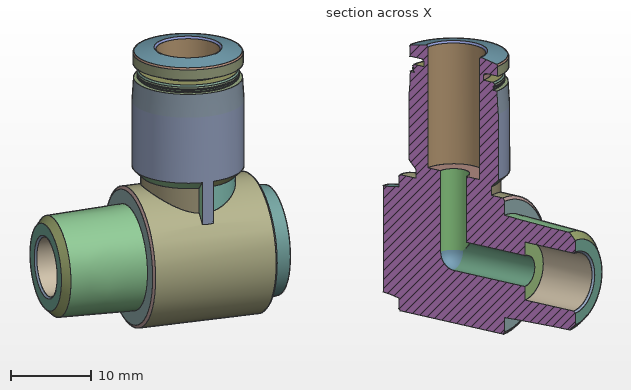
import cadquery as cq

passage_diameter = 4.0

body_radius = 17.9 / 2
body_front = -8.0
body_rear = 8.6
front_edge_radial = 0.4
rear_edge_radial = 0.25
edge_axial = 0.25

boss_rear = 11.0
boss_base_radius = 7.3
boss_end_radius = 7.0

spigot_front = boss_rear - 30.0
spigot_base_radius = 6.75
spigot_end_radius = 6.4
spigot_tip_radius = 5.53
spigot_chamfer_length = 0.93
spigot_bore_radius = 7.52 / 2
spigot_bore_depth = 7.85
bore_chamfer = 0.25

socket_radius = 14.0 / 2
neck_radius = 5.92
neck_top = 10.05
socket_bottom = 11.12
shoulder_bottom = 19.7
shoulder_top = 22.75
shoulder_top_radius = 6.8

ring_radius = 12.8 / 2
ring_groove_radius = 6.2
ring_top = 23.78
ring_chamfer = 0.2
ring_groove_bottom = 23.15
ring_groove_top = 23.28

stem_radius = 9.4 / 2
button_radius = 13.8 / 2
button_top = 35.65 - body_radius
button_bottom = 24.67
button_rim_height = 26.0
button_edge_height = 26.25
button_edge_radius = 6.77
stem_flare = 0.25
tube_bore_radius = 8.0 / 2
tube_bore_depth = 16.05

rib_width = 1.5
rib_bottom = 5.53
rib_top = socket_bottom


def revolve_about_z(points):
    """Revolve a closed (radius, height) outline about the Z axis."""
    return cq.Workplane("XZ").polyline(points).close().revolve(360, (0, 0, 0), (0, 1, 0))


def revolve_about_y(points):
    """Revolve a closed (radius, y) outline about the Y axis."""
    return cq.Workplane("XY").polyline(points).close().revolve(360, (0, 0, 0), (0, 1, 0))


def make_banjo():
    return revolve_about_y([
        (0, spigot_front),
        (spigot_tip_radius, spigot_front),
        (spigot_end_radius, spigot_front + spigot_chamfer_length),
        (spigot_base_radius, body_front),
        (body_radius - front_edge_radial, body_front),
        (body_radius, body_front + edge_axial),
        (body_radius, body_rear - edge_axial),
        (body_radius - rear_edge_radial, body_rear),
        (boss_base_radius, body_rear),
        (boss_end_radius, boss_rear),
        (0, boss_rear),
    ])


def make_socket():
    tube_entry_radius = tube_bore_radius + bore_chamfer
    return revolve_about_z([
        (0, 0),
        (neck_radius, 0),
        (neck_radius, neck_top),
        (socket_radius, socket_bottom),
        (socket_radius, shoulder_bottom),
        (shoulder_top_radius, shoulder_top),
        (ring_radius - ring_chamfer, shoulder_top),
        (ring_radius, shoulder_top + ring_chamfer),
        (ring_radius, ring_groove_bottom),
        (ring_groove_radius, ring_groove_bottom),
        (ring_groove_radius, ring_groove_top),
        (ring_radius, ring_groove_top),
        (ring_radius, ring_top - ring_chamfer),
        (ring_radius - ring_chamfer, ring_top),
        (stem_radius, ring_top),
        (stem_radius, button_bottom - stem_flare),
        (stem_radius + stem_flare, button_bottom),
        (button_radius, button_bottom),
        (button_radius, button_rim_height),
        (button_edge_radius, button_edge_height),
        (tube_entry_radius, button_top),
        (0, button_top),
    ])


def make_ribs():
    """One bar across the neck, its ends rounded to the socket; they show as the two ribs."""
    rib_height = rib_top - rib_bottom
    base = cq.Workplane("XY").workplane(offset=rib_bottom)
    bar = base.rect(2 * socket_radius, rib_width).extrude(rib_height)
    return bar.intersect(base.circle(socket_radius).extrude(rib_height))


def make_tube_bore():
    """Chamfered tube bore narrowing to the passage."""
    passage_radius = passage_diameter / 2
    bore_bottom = button_top - tube_bore_depth
    return revolve_about_z([
        (0, 0),
        (passage_radius, 0),
        (passage_radius, bore_bottom),
        (tube_bore_radius, bore_bottom),
        (tube_bore_radius, button_top - bore_chamfer),
        (tube_bore_radius + bore_chamfer, button_top),
        (0, button_top),
    ])


def make_spigot_bore():
    """Chamfered spigot bore narrowing to the passage."""
    passage_radius = passage_diameter / 2
    bore_bottom = spigot_front + spigot_bore_depth
    return revolve_about_y([
        (0, spigot_front),
        (spigot_bore_radius + bore_chamfer, spigot_front),
        (spigot_bore_radius, spigot_front + bore_chamfer),
        (spigot_bore_radius, bore_bottom),
        (passage_radius, bore_bottom),
        (passage_radius, 0),
        (0, 0),
    ])


def make_elbow():
    """Ball that rounds the corner where the two bores meet."""
    return cq.Workplane("XY").sphere(passage_diameter / 2)


solid_part = make_banjo().union(make_socket()).union(make_ribs())
result = solid_part.cut(make_tube_bore()).cut(make_spigot_bore()).cut(make_elbow())